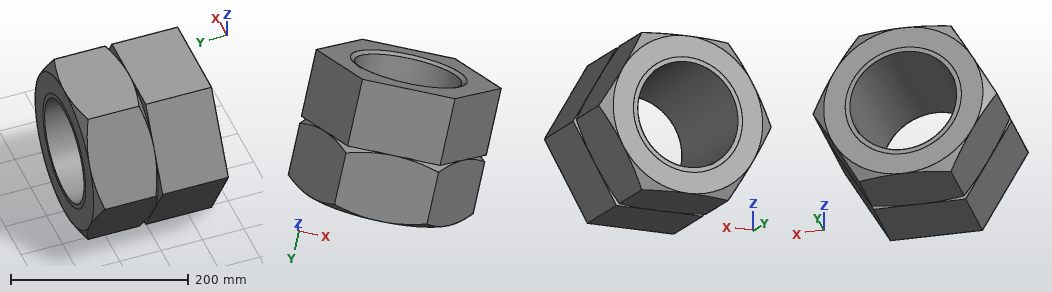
import cadquery as cq
import math

across_flats = 185.0
total_length = 157.4
head_length = 79.4
bore_diameter = 124.0
mouth_diameter = 135.0
mouth_angle = 60.0
corner_angle = 30.0

across_corners = across_flats / math.cos(math.radians(30))
sleeve_diameter = mouth_diameter
nut_length = total_length - head_length
front_y = -total_length / 2
back_y = total_length / 2
joint_y = front_y + head_length
mouth_depth = (mouth_diameter - bore_diameter) / 2 / math.tan(math.radians(mouth_angle))


def cross_section(y):
    """Workplane square to the bore axis at the given y, facing +Y."""
    return cq.Workplane(cq.Plane(origin=(0, y, 0), xDir=(1, 0, 0), normal=(0, 1, 0)))


def hexagon_block(start_y, length):
    """Hexagonal prism along Y with two corners pointing along X."""
    return cross_section(start_y).polygon(6, across_corners).extrude(length)


def turn_about_y(profile):
    """Solid of revolution about the Y axis from a closed half profile in XY."""
    return profile.revolve(360, (0, 0, 0), (0, 1, 0))


def bore_cutter():
    """Full-length bore that opens into a conical mouth at the front."""
    bore_radius = bore_diameter / 2
    return turn_about_y(
        cq.Workplane("XY")
        .moveTo(0, front_y)
        .lineTo(mouth_diameter / 2, front_y)
        .lineTo(bore_radius, front_y + mouth_depth)
        .lineTo(bore_radius, back_y)
        .lineTo(0, back_y)
        .close()
    )


def corner_envelope():
    """Turned shape whose conical ends trim the nut's hexagon corners."""
    end_radius = across_flats / 2
    corner_radius = across_corners / 2
    corner_drop = (corner_radius - end_radius) * math.tan(math.radians(corner_angle))
    return turn_about_y(
        cq.Workplane("XY")
        .moveTo(0, joint_y)
        .lineTo(end_radius, joint_y)
        .lineTo(corner_radius, joint_y + corner_drop)
        .lineTo(corner_radius, back_y - corner_drop)
        .lineTo(end_radius, back_y)
        .lineTo(0, back_y)
        .close()
    )


def make_bushing():
    """Sharp-cornered hexagon head with a sleeve that carries the bore through the nut."""
    head = hexagon_block(front_y, head_length)
    sleeve = cross_section(joint_y).circle(sleeve_diameter / 2).extrude(nut_length)
    return head.union(sleeve).cut(bore_cutter())


def make_nut():
    """Hexagon nut around the sleeve, with corners trimmed at both ends."""
    block = hexagon_block(joint_y, nut_length)
    sleeve_hole = cross_section(joint_y).circle(sleeve_diameter / 2).extrude(nut_length)
    return block.intersect(corner_envelope()).cut(sleeve_hole)


bushing = make_bushing()
nut = make_nut()
result = cq.Compound.makeCompound([bushing.val(), nut.val()])